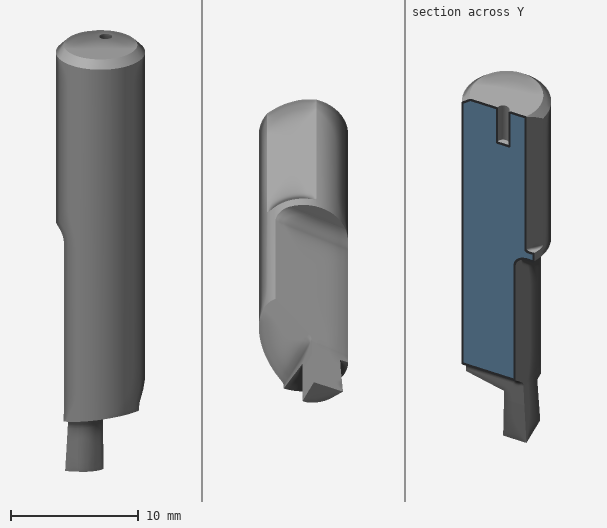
import cadquery as cq
import math

LENGTH = 36
DIAMETER = 7.0
RADIUS = DIAMETER / 2
TOP_CHAMFER = 0.6

CLAMP_ANGLE = 135
CLAMP_DISTANCE = 2.85
CLAMP_BOTTOM_Z = 21.9
CLAMP_FILLET = 0.2

HOLE_X = -0.45
HOLE_Y = 1.62
HOLE_DIAMETER = 1.0
HOLE_DEPTH = 3.6

FLAT_X = -1.48
FLAT_TOP_Z = 21.02
FLAT_FILLET = 1.0

RELIEF_TOP_Z = 9.8
RELIEF_FILLET = 0.9
END_CENTRE_Z = 4.75
END_RISE_X = 0.25
END_RISE_Y = -0.13

SPLIT_Z = 3.95
NECK_TOP_Z = 5.75
NECK_FRONT_Y = -2.45
NECK_BACK_X = 0.2

TIP_FACE_X = -1.7
TIP_BACK_X = 0.32
TIP_LAND_X = -0.83
TIP_REAR_INSET = 0.07
TIP_FRONT_Y = -2.63
TIP_LAND_ANGLE = 32
TIP_RELIEF_END_ANGLE = 80
TIP_END_RISE = 0.32

CUT_SIZE = 2 * DIAMETER
SPLIT_FACE_X = FLAT_X + (TIP_FACE_X - FLAT_X) * (NECK_TOP_Z - SPLIT_Z) / NECK_TOP_Z


def side_cut(wall, bottom_z, top_z):
    """Tool removing everything beyond X = wall, on the -X side."""
    return (
        cq.Workplane("XY")
        .box(CUT_SIZE, CUT_SIZE, top_z - bottom_z, centered=(False, True, False))
        .translate((wall - CUT_SIZE, 0, bottom_z))
    )


def clamp_cut():
    tool = side_cut(-CLAMP_DISTANCE, CLAMP_BOTTOM_Z, LENGTH + TOP_CHAMFER)
    tool = tool.edges(">X and <Z").fillet(CLAMP_FILLET)
    return tool.rotate((0, 0, 0), (0, 0, 1), CLAMP_ANGLE - 180)


def flat_cut():
    """Tool for the flat, leaning towards -X below the neck top to meet the rake face."""
    tool = (
        cq.Workplane("XZ")
        .moveTo(-CUT_SIZE, 0)
        .lineTo(TIP_FACE_X, 0)
        .lineTo(FLAT_X, NECK_TOP_Z)
        .lineTo(FLAT_X, FLAT_TOP_Z)
        .lineTo(-CUT_SIZE, FLAT_TOP_Z)
        .close()
        .extrude(DIAMETER, both=True)
    )
    corner = cq.selectors.NearestToPointSelector((FLAT_X, 0, FLAT_TOP_Z))
    return tool.edges(corner).fillet(FLAT_FILLET)


def relief_cut():
    """Removes the +Y half below a 45 degree slope that blends into the plane Y = 0."""
    slope_foot_z = RELIEF_TOP_Z - RADIUS
    tool = (
        cq.Workplane("YZ")
        .moveTo(0, 0)
        .lineTo(0, slope_foot_z)
        .lineTo(DIAMETER, slope_foot_z + DIAMETER)
        .lineTo(DIAMETER, 0)
        .close()
        .extrude(DIAMETER, both=True)
    )
    corner = cq.selectors.NearestToPointSelector((0, 0, slope_foot_z))
    return tool.edges(corner).fillet(RELIEF_FILLET)


def end_cut():
    """Removes everything below the sloping end face."""
    normal = cq.Vector(END_RISE_X, END_RISE_Y, -1)
    plane = cq.Plane(origin=(0, 0, END_CENTRE_Z), normal=normal)
    return cq.Workplane(plane).rect(2 * CUT_SIZE, 2 * CUT_SIZE).extrude(CUT_SIZE)


def tip_section(z, face_x, back_x, front_y, rear_y):
    """Closed outline: straight land behind the rake face, then a tangent relief arc."""
    start = math.radians(TIP_LAND_ANGLE)
    end = math.radians(TIP_RELIEF_END_ANGLE)
    middle = (start + end) / 2
    land_end_y = front_y + (TIP_LAND_X - face_x) * math.tan(start)
    radius = (back_x - TIP_LAND_X) / (math.sin(end) - math.sin(start))

    def arc_point(angle):
        return (
            TIP_LAND_X + radius * (math.sin(angle) - math.sin(start)),
            land_end_y + radius * (math.cos(start) - math.cos(angle)),
        )

    return (
        cq.Workplane("XY", origin=(0, 0, z))
        .moveTo(face_x, rear_y)
        .lineTo(face_x, front_y)
        .lineTo(TIP_LAND_X, land_end_y)
        .threePointArc(arc_point(middle), arc_point(end))
        .lineTo(back_x, rear_y)
        .close()
        .wire()
        .val()
    )


def make_neck():
    lower = tip_section(SPLIT_Z, SPLIT_FACE_X, NECK_BACK_X, NECK_FRONT_Y, 0)
    upper = tip_section(NECK_TOP_Z, FLAT_X, NECK_BACK_X, NECK_FRONT_Y, 0)
    return cq.Workplane(cq.Solid.makeLoft([lower, upper], True))


def make_shank():
    shank = cq.Workplane("XY").circle(RADIUS).extrude(LENGTH)
    shank = shank.faces(">Z").chamfer(TOP_CHAMFER)
    for tool in (clamp_cut(), flat_cut(), relief_cut(), end_cut()):
        shank = shank.cut(tool)
    hole = (
        cq.Workplane("XY", origin=(HOLE_X, HOLE_Y, LENGTH))
        .circle(HOLE_DIAMETER / 2)
        .extrude(-HOLE_DEPTH)
    )
    return shank.cut(hole).union(make_neck())


def make_tip():
    lower = tip_section(0, TIP_FACE_X, TIP_BACK_X, TIP_FRONT_Y, -TIP_REAR_INSET)
    upper = tip_section(SPLIT_Z, SPLIT_FACE_X, NECK_BACK_X, NECK_FRONT_Y, 0)
    tip = cq.Workplane(cq.Solid.makeLoft([lower, upper], True))
    run = -TIP_FRONT_Y - TIP_REAR_INSET
    end_wedge = (
        cq.Workplane("YZ")
        .moveTo(-TIP_REAR_INSET, 0)
        .lineTo(-TIP_REAR_INSET - 2 * run, 2 * TIP_END_RISE)
        .lineTo(-TIP_REAR_INSET - 2 * run, 0)
        .close()
        .extrude(DIAMETER, both=True)
    )
    return tip.cut(end_wedge)


shank = make_shank()
tip = make_tip()

result = cq.Compound.makeCompound([shank.val(), tip.val()])